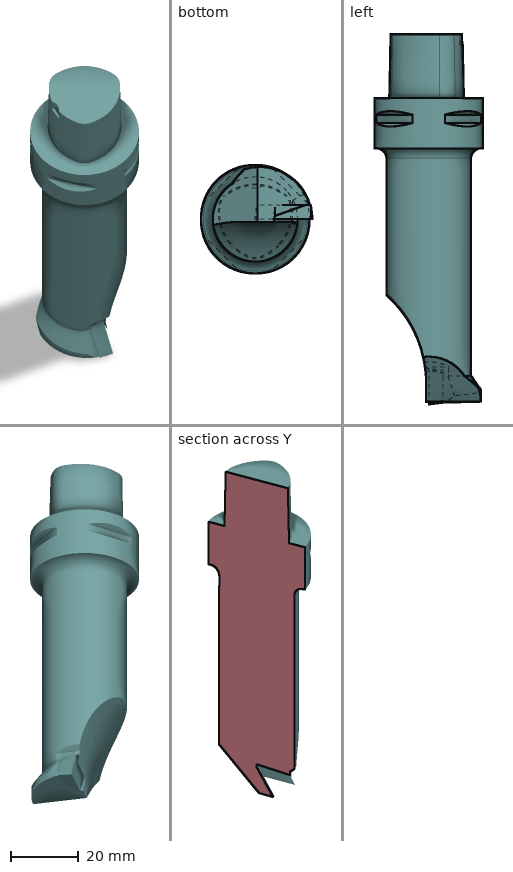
import cadquery as cq
import math

shank_height = 18.9
flange_radius = 16.0
flange_height = 14.8
bar_radius = 12.48
neck_fillet = 2.8
head_start_z = -81.8
tip_z = shank_height - 109.0
far = 43.6

lobe_radius = 5.3
lobe_offset = 6.3
flank_reach = 10.4
taper_inset = 0.38

key_radius = 3.5
key_floor = 9.2
key_height = 3.3

slot_count = 4
first_slot_angle = 45.0
slot_floor = 14.2
slot_center_z = -6.1
slot_floor_width = 2.4
slot_wall_angle = 30.0

flare_slope = 0.7
head_radius = 15.4
head_shift = 1.3
head_bottom_z = -89.3
head_bottom_tilt = 1.0
back_start_z = -76.1
chip_wall_y = 0.82
chip_radius = 34.3
chip_tangent_z = -83.7

insert_tip_x = 16.9
insert_edge = 11.7
insert_angle = 55.0
insert_lead = 3.5
insert_thickness = 4.3
insert_clearance = 7.0
insert_nose = 0.4

relief_x = 11.0
relief_top_z = -77.6
relief_inset = insert_thickness * math.tan(math.radians(insert_clearance))


def polar(radius, angle):
    a = math.radians(angle)
    return (radius * math.cos(a), radius * math.sin(a))


def lobed_outline(z, inset):
    """Wire of three lobe arcs joined tangentially by three flatter flank arcs."""
    radius = lobe_radius - inset
    reach = flank_reach - inset

    def lobe_point(lobe_angle, normal_angle):
        cx, cy = polar(lobe_offset, lobe_angle)
        dx, dy = polar(radius, normal_angle)
        return (cx + dx, cy + dy)

    outline = cq.Workplane("XY", origin=(0, 0, z)).moveTo(*lobe_point(90, 60))
    for lobe in (90, 210, 330):
        outline = outline.threePointArc(lobe_point(lobe, lobe), lobe_point(lobe, lobe + 30))
        outline = outline.threePointArc(polar(reach, lobe + 60), lobe_point(lobe + 120, lobe + 90))
    return outline.close().val()


def make_shank():
    wires = [lobed_outline(0, 0), lobed_outline(shank_height, taper_inset)]
    shank = cq.Workplane(cq.Solid.makeLoft(wires, True))
    key = (
        cq.Workplane("XY", origin=(0, 0, shank_height - key_height))
        .center(0, -key_floor - key_radius)
        .circle(key_radius)
        .extrude(far)
    )
    return shank.cut(key)


def make_flange_and_bar():
    neck_z = -flange_height - neck_fillet
    neck_radius = bar_radius + neck_fillet
    mid = neck_fillet * math.sqrt(0.5)
    return (
        cq.Workplane("XZ")
        .lineTo(flange_radius, 0)
        .lineTo(flange_radius, -flange_height)
        .lineTo(neck_radius, -flange_height)
        .threePointArc((neck_radius - mid, neck_z + mid), (bar_radius, neck_z))
        .lineTo(bar_radius, head_start_z)
        .lineTo(0, head_start_z)
        .close()
        .revolve(360, (0, 0), (0, 1))
    )


def make_slot(angle):
    """Trapezoidal slot, straight along the tangent of the flange."""
    depth = flange_radius - slot_floor
    floor_half = slot_floor_width / 2
    mouth_half = floor_half + depth * math.tan(math.radians(slot_wall_angle))
    return (
        cq.Workplane("XZ")
        .polyline([
            (slot_floor, slot_center_z - floor_half),
            (flange_radius, slot_center_z - mouth_half),
            (flange_radius, slot_center_z + mouth_half),
            (slot_floor, slot_center_z + floor_half),
        ])
        .close()
        .extrude(flange_radius, both=True)
        .rotate((0, 0, 0), (0, 0, 1), angle)
    )


def make_head():
    """Flared end of the bar, trimmed by an offset cylinder and a tilted bottom."""
    length = head_start_z - tip_z
    flare = cq.Workplane(
        cq.Solid.makeCone(
            bar_radius + flare_slope * length, bar_radius, length, pnt=cq.Vector(0, 0, tip_z)
        )
    )
    trim = cq.Workplane("XY", origin=(head_shift, 0, tip_z)).circle(head_radius).extrude(length)
    drop = far * math.tan(math.radians(head_bottom_tilt))
    below = (
        cq.Workplane("XZ")
        .polyline([
            (-far, head_bottom_z + drop),
            (far, head_bottom_z - drop),
            (far, head_bottom_z - far),
            (-far, head_bottom_z - far),
        ])
        .close()
        .extrude(far, both=True)
    )
    return flare.intersect(trim).cut(below)


def make_back_cut():
    """45 degree cut that removes the -X side of the bar end."""
    return (
        cq.Workplane("XZ")
        .polyline([
            (-bar_radius - far, back_start_z + far),
            (-bar_radius + far, back_start_z - far),
            (-bar_radius - far, back_start_z - far),
        ])
        .close()
        .extrude(far, both=True)
    )


def make_chip_space():
    """Flat wall that runs out in a large arc, opening the +Y side of the bar end."""
    center_y = chip_wall_y + chip_radius
    mid = chip_radius * math.sqrt(0.5)
    return (
        cq.Workplane("YZ")
        .moveTo(chip_wall_y, tip_z)
        .lineTo(chip_wall_y, chip_tangent_z)
        .threePointArc(
            (center_y - mid, chip_tangent_z + mid), (center_y, chip_tangent_z + chip_radius)
        )
        .lineTo(center_y, tip_z)
        .close()
        .extrude(far, both=True)
    )


def make_insert():
    """Rhombic plate with its cutting face at Y = 0 and walls tapering toward -Y."""
    steep = insert_lead + insert_angle
    along_x, along_z = polar(insert_edge, 180 - insert_lead)
    up_x, up_z = polar(insert_edge, 180 - steep)
    overhang = insert_nose / math.sin(math.radians(insert_angle / 2))
    corner_dx, corner_dz = polar(overhang, -(insert_lead + insert_angle / 2))
    corner = (insert_tip_x - insert_nose + corner_dx, tip_z + insert_nose + corner_dz)
    outline = (
        cq.Sketch()
        .polygon([
            corner,
            (corner[0] + along_x, corner[1] + along_z),
            (corner[0] + along_x + up_x, corner[1] + along_z + up_z),
            (corner[0] + up_x, corner[1] + up_z),
            corner,
        ])
        .vertices()
        .fillet(insert_nose)
    )
    return cq.Workplane("XZ").placeSketch(outline).extrude(insert_thickness, taper=insert_clearance)


def make_side_relief():
    """Notch in the +X side of the bar, then a slope parallel to the insert edge."""
    steep = math.radians(insert_lead + insert_angle)
    edge_x = insert_tip_x - relief_inset / math.sin(steep)
    slope_top_z = tip_z + (edge_x - relief_x) * math.tan(steep)
    notch_z = relief_top_z - (bar_radius - relief_x)
    return (
        cq.Workplane("XZ")
        .polyline([
            (bar_radius, relief_top_z),
            (relief_x, notch_z),
            (relief_x, slope_top_z),
            (edge_x, tip_z),
            (far, tip_z),
            (far, relief_top_z),
        ])
        .close()
        .extrude(far, both=True)
    )


def make_holder(insert):
    holder = make_flange_and_bar().union(make_shank()).union(make_head())
    for i in range(slot_count):
        holder = holder.cut(make_slot(first_slot_angle + i * 360 / slot_count))
    for cutter in (make_back_cut(), make_chip_space(), make_side_relief()):
        holder = holder.cut(cutter)
    opening = insert.faces(">Y").wires().toPending().workplane().extrude(chip_wall_y, combine=False)
    return holder.cut(insert).cut(opening)


insert = make_insert()
holder = make_holder(insert)
result = cq.Compound.makeCompound([holder.val(), insert.val()])